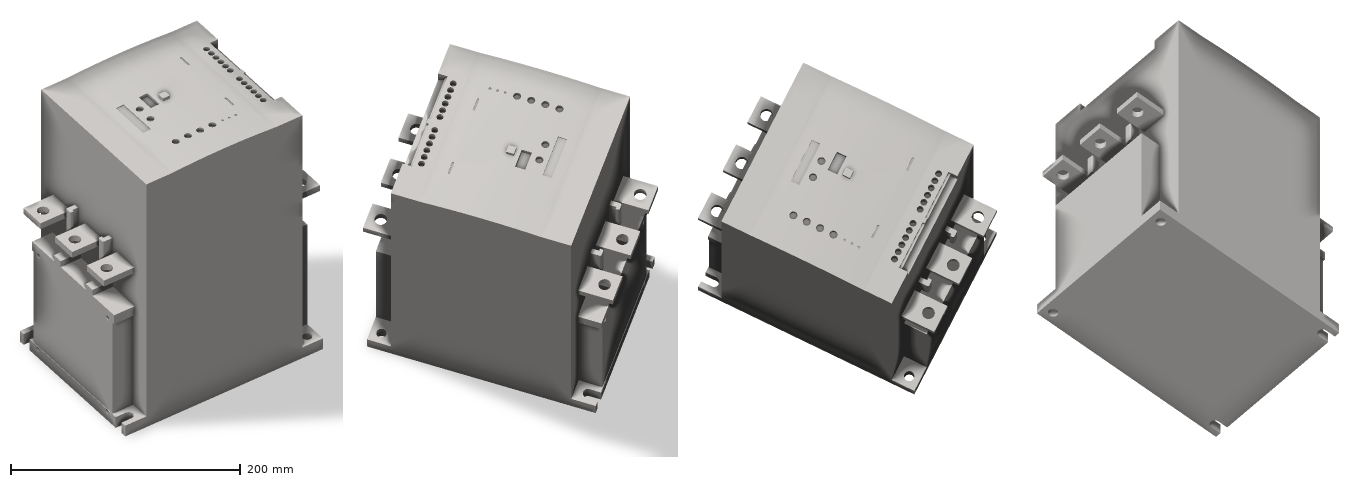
import cadquery as cq
import math

WIDTH = 160.0
BODY_DEPTH = 166.0
BASE_FRONT_Y = -105.5
BASE_REAR_Y = 105.0
BASE_HEIGHT = 12.0
CAP_SEAM_Z = 238.5
CAP_TOP_Z = 272.7
FRONT_Y = -BODY_DEPTH / 2
REAR_Y = BODY_DEPTH / 2

DOME_HALF_DEPTH = 55.5
DOME_RISE = 2.0
DOME_RADIUS = (DOME_HALF_DEPTH**2 + DOME_RISE**2) / (2 * DOME_RISE)
DOME_TOP_Z = CAP_TOP_Z + DOME_RISE

MOUNT_X = 70.0
MOUNT_Y = 95.0
MOUNT_DIAMETER = 9.0

FRONT_COVER_WIDTH = 120.0
REAR_COVER_WIDTH = 112.0
COVER_TOP_Z = 124.0
FRONT_COVER_Y = -104.9
LIP_WIDTH = 124.5
LIP_HEIGHT = 10.0
TAB_X = 24.2
TAB_WIDTH = 10.3
TAB_HEIGHT = 6.6
SCREW_X = 52.4
SCREW_HEIGHTS = (9.7, 114.3)
SCREW_DIAMETER = 4.5
SCREW_DEPTH = 3.0

BUSBAR_PITCH = 48.3
BUSBAR_WIDTH = 26.0
BUSBAR_LENGTH = 230.0
BUSBAR_THICKNESS = 6.5
BUSBAR_BOTTOM_Z = 160.5
BUSBAR_HOLE_Y = 103.0
BUSBAR_HOLE_DIAMETER = 11.0

BARRIER_OUTER_X = 28.2
BARRIER_WALL = 4.8
BARRIER_HOOK_WIDTH = 7.0
BARRIER_HOOK_DEPTH = 3.5
BARRIER_REACH = 10.0
BARRIER_ROUND = 1.5
FRONT_BARRIER_Z = (148.0, 178.0)
REAR_BARRIER_Z = (149.5, 171.5)

SCOOP_WIDTH = 96.5
SCOOP_RADIUS = 6.5
SCOOP_STRAIGHT_DEPTH = 4.0
TERMINAL_LEDGE_Y = 74.4
TERMINAL_LEDGE_DEPTH = SCOOP_STRAIGHT_DEPTH
TERMINAL_GROUP_INNER_X = 2.5
TERMINAL_COUNT = 6
TERMINAL_FIRST_X = 7.0
TERMINAL_PITCH = 7.2
TERMINAL_Y = 67.3
TERMINAL_DIAMETER = 6.0
WIRE_POCKET_WIDTH = 3.3
WIRE_POCKET_ROOF = 0.9
WIRE_POCKET_END_Y = 71.0
TERMINAL_DEPTH = 8.0

POCKET_CUT_HEIGHT = 10.0
KNOB_DIAMETER = 7.0
KNOB_DEPTH = 4.0
KNOB_PITCH = 13.0
KNOB_COLUMN_X = 47.5
KNOB_COLUMN_TOP_Y = 10.0
KNOB_COLUMN_COUNT = 4
KNOB_ROW_Y = KNOB_COLUMN_TOP_Y - (KNOB_COLUMN_COUNT - 1) * KNOB_PITCH
KNOB_ROW_X = (-7.2, 9.2)
LAMP_DIAMETER = 2.5
LAMP_DEPTH = 1.0
LAMP_TOP_Y = 35.0
LAMP_PITCH = 7.0
LAMP_COUNT = 3
VENT_LENGTH = 13.0
VENT_WIDTH = 2.0
VENT_DEPTH = 1.0
VENT_Y = 41.4
VENT_X = (-39.3, 28.5)
DISPLAY_LEFT_X = -20.7
SOCKET_SIZE = (18.2, 9.3)
SOCKET_Y = -15.9
SOCKET_DEPTH = 4.0
LABEL_SIZE = (-2 * DISPLAY_LEFT_X, 8.3)
LABEL_Y = -40.9
LABEL_DEPTH = 1.0
BUTTON_SIZE = 7.2
BUTTON_X = -7.2
BUTTON_REAR_Y = 0.5
BUTTON_TOP_Z = 277.95


def box(x_range, y_range, z_range):
    """Axis-aligned block between the given limits."""
    size = [high - low for low, high in (x_range, y_range, z_range)]
    corner = (x_range[0], y_range[0], z_range[0])
    return cq.Workplane("XY").box(*size, centered=False).translate(corner)


def centred(middle, size):
    """Lower and upper limit of a span given by its middle and size."""
    return (middle - size / 2, middle + size / 2)


def dome_z(y):
    """Height of the lid's outer surface within the dome."""
    return DOME_TOP_Z - DOME_RADIUS + math.sqrt(DOME_RADIUS**2 - y**2)


def make_base():
    base = box(centred(0, WIDTH), (BASE_FRONT_Y, BASE_REAR_Y), (0, BASE_HEIGHT))
    for x in (-MOUNT_X, MOUNT_X):
        for y in (-MOUNT_Y, MOUNT_Y):
            hole = cq.Workplane("XY").center(x, y).circle(MOUNT_DIAMETER / 2).extrude(BASE_HEIGHT)
            base = base.cut(hole)
        slot = box(centred(x, MOUNT_DIAMETER), (BASE_FRONT_Y, -MOUNT_Y), (0, BASE_HEIGHT))
        base = base.cut(slot)
    return base


def make_covers():
    front_span = (FRONT_COVER_Y, FRONT_Y)
    cover = box(centred(0, FRONT_COVER_WIDTH), front_span, (BASE_HEIGHT, COVER_TOP_Z))
    cover = cover.union(box(centred(0, LIP_WIDTH), front_span, (COVER_TOP_Z - LIP_HEIGHT, COVER_TOP_Z)))
    for x in (-TAB_X, TAB_X):
        cover = cover.union(box(centred(x, TAB_WIDTH), front_span, (COVER_TOP_Z, COVER_TOP_Z + TAB_HEIGHT)))
    rear = box(centred(0, REAR_COVER_WIDTH), (REAR_Y, BASE_REAR_Y), (BASE_HEIGHT, COVER_TOP_Z))
    return cover.union(rear)


def make_screw_holes():
    points = [(x, z) for x in (-SCREW_X, SCREW_X) for z in SCREW_HEIGHTS]
    front = cq.Workplane("XZ", origin=(0, BASE_FRONT_Y, 0)).pushPoints(points)
    return front.circle(SCREW_DIAMETER / 2).extrude(-SCREW_DEPTH)


def make_busbars():
    bars = cq.Workplane("XY")
    for x in (-BUSBAR_PITCH, 0, BUSBAR_PITCH):
        bar = (
            cq.Workplane("XY", origin=(x, 0, BUSBAR_BOTTOM_Z))
            .rect(BUSBAR_WIDTH, BUSBAR_LENGTH)
            .pushPoints([(0, -BUSBAR_HOLE_Y), (0, BUSBAR_HOLE_Y)])
            .circle(BUSBAR_HOLE_DIAMETER / 2)
            .extrude(BUSBAR_THICKNESS)
        )
        bars = bars.add(bar)
    return bars.combine()


def make_barrier(z_range):
    """Left barrier on the rear wall: an upright with a hook turned towards the middle."""
    tip_y = REAR_Y + BARRIER_REACH
    hook_y = tip_y - BARRIER_HOOK_DEPTH
    left_x = -BARRIER_OUTER_X
    wall_x = left_x + BARRIER_WALL
    hook_x = left_x + BARRIER_HOOK_WIDTH
    outline = [
        (left_x, REAR_Y),
        (left_x, tip_y),
        (hook_x, tip_y),
        (hook_x, hook_y),
        (wall_x, hook_y),
        (wall_x, REAR_Y),
    ]
    barrier = cq.Workplane("XY", origin=(0, 0, z_range[0])).polyline(outline).close()
    return barrier.extrude(z_range[1] - z_range[0]).edges("|Z and >Y").fillet(BARRIER_ROUND)


def make_barriers():
    rear = make_barrier(REAR_BARRIER_Z)
    front = make_barrier(FRONT_BARRIER_Z).mirror("XZ")
    left = rear.union(front)
    return left.union(left.mirror("YZ"))


def make_cap():
    """Lid with a shallow dome whose two halves meet on the centre line."""
    middle_y = DOME_HALF_DEPTH / 2
    return (
        cq.Workplane("YZ", origin=(-WIDTH / 2, 0, 0))
        .moveTo(FRONT_Y, CAP_SEAM_Z)
        .lineTo(FRONT_Y, CAP_TOP_Z)
        .lineTo(-DOME_HALF_DEPTH, CAP_TOP_Z)
        .threePointArc((-middle_y, dome_z(middle_y)), (0, DOME_TOP_Z))
        .threePointArc((middle_y, dome_z(middle_y)), (DOME_HALF_DEPTH, CAP_TOP_Z))
        .lineTo(REAR_Y, CAP_TOP_Z)
        .lineTo(REAR_Y, CAP_SEAM_Z)
        .close()
        .extrude(WIDTH, clean=False)
    )


def make_terminal_cuts():
    """Rear scoop, plus two groups of clamp holes with roofed wire pockets opening on a ledge."""
    scoop_z = CAP_TOP_Z - SCOOP_STRAIGHT_DEPTH
    scoop_start = (-SCOOP_WIDTH / 2, REAR_Y, scoop_z)
    cuts = cq.Workplane("YZ", origin=scoop_start).circle(SCOOP_RADIUS).extrude(SCOOP_WIDTH)
    cuts = cuts.union(box(centred(0, SCOOP_WIDTH), (REAR_Y - SCOOP_RADIUS, REAR_Y), (scoop_z, CAP_TOP_Z)))
    ledge_z = (CAP_TOP_Z - TERMINAL_LEDGE_DEPTH, CAP_TOP_Z)
    ledge_x = (TERMINAL_GROUP_INNER_X, SCOOP_WIDTH / 2)
    group = box(ledge_x, (TERMINAL_LEDGE_Y, REAR_Y - SCOOP_RADIUS), ledge_z)
    pocket_y = (WIRE_POCKET_END_Y, TERMINAL_LEDGE_Y)
    pocket_z = (CAP_TOP_Z - TERMINAL_LEDGE_DEPTH, CAP_TOP_Z - WIRE_POCKET_ROOF)
    for i in range(TERMINAL_COUNT):
        x = TERMINAL_FIRST_X + i * TERMINAL_PITCH
        hole = cq.Workplane("XY", origin=(x, TERMINAL_Y, CAP_TOP_Z)).circle(TERMINAL_DIAMETER / 2)
        group = group.union(hole.extrude(-TERMINAL_DEPTH))
        group = group.union(box(centred(x, WIRE_POCKET_WIDTH), pocket_y, pocket_z))
    return cuts.union(group).union(group.mirror("YZ"))


def dome_plane(x, y, depth):
    """Workplane for a pocket floor `depth` below the dome at (x, y)."""
    return cq.Workplane("XY", origin=(x, y, dome_z(y) - depth))


def make_dome_cuts():
    knob_points = [(KNOB_COLUMN_X, KNOB_COLUMN_TOP_Y - i * KNOB_PITCH) for i in range(KNOB_COLUMN_COUNT)]
    knob_points += [(x, KNOB_ROW_Y) for x in KNOB_ROW_X]
    lamp_points = [(KNOB_COLUMN_X, LAMP_TOP_Y - i * LAMP_PITCH) for i in range(LAMP_COUNT)]
    socket_x = DISPLAY_LEFT_X + SOCKET_SIZE[0] / 2

    outlines = [dome_plane(x, y, KNOB_DEPTH).circle(KNOB_DIAMETER / 2) for x, y in knob_points]
    outlines += [dome_plane(x, y, LAMP_DEPTH).circle(LAMP_DIAMETER / 2) for x, y in lamp_points]
    outlines += [dome_plane(x, VENT_Y, VENT_DEPTH).slot2D(VENT_LENGTH, VENT_WIDTH) for x in VENT_X]
    outlines.append(dome_plane(socket_x, SOCKET_Y, SOCKET_DEPTH).rect(*SOCKET_SIZE))
    outlines.append(dome_plane(0, LABEL_Y, LABEL_DEPTH).rect(*LABEL_SIZE))
    return [outline.extrude(POCKET_CUT_HEIGHT) for outline in outlines]


def make_button():
    y_range = (BUTTON_REAR_Y - BUTTON_SIZE, BUTTON_REAR_Y)
    return box(centred(BUTTON_X, BUTTON_SIZE), y_range, (CAP_TOP_Z, BUTTON_TOP_Z))


body = box(centred(0, WIDTH), centred(0, BODY_DEPTH), (0, CAP_SEAM_Z))
housing = make_base().union(body).union(make_covers()).cut(make_screw_holes())
housing = housing.union(make_busbars()).union(make_barriers())

cap = make_cap().cut(make_terminal_cuts(), clean=False)
for pocket in make_dome_cuts():
    cap = cap.cut(pocket, clean=False)
cap = cap.union(make_button(), clean=False)

result = housing.union(cap, clean=False)